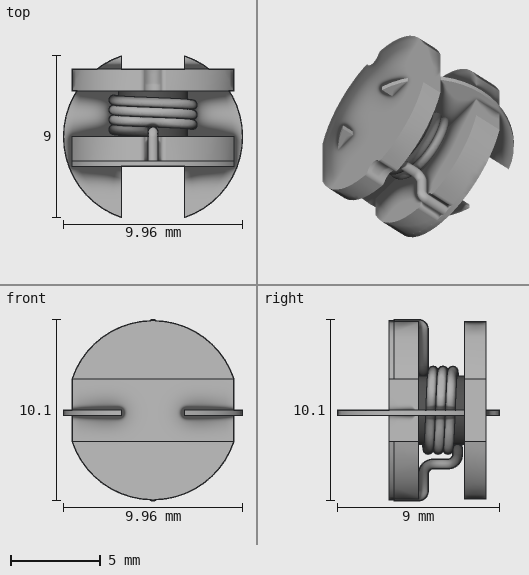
import cadquery as cq
import math

OVERALL_HEIGHT = 10.09
FLAT_HALF_WIDTH = 4.5
FLAT_HALF_HEIGHT = 1.75
CROWN_RADIUS = 4.98
BACK_FLANGE_THICKNESS = 1.2
FRONT_FLANGE_THICKNESS = 1.35
POST_LENGTH = 2.55
POST_DIAMETER = 3.81
PLATE_THICKNESS = 0.3
FIN_TOP_Z = 0.01
GROOVE_RADIUS = 0.5
GROOVE_EDGE_FILLET = 0.25
WIRE_DIAMETER = 0.54
TURN_GAP = 0.004
TIGHT_BEND_RADIUS = 0.28
JOG_BEND_RADIUS = 0.54
HALF_TURNS = 7

WIRE_RADIUS = WIRE_DIAMETER / 2
PITCH = WIRE_DIAMETER + TURN_GAP
COIL_RADIUS = POST_DIAMETER / 2 + WIRE_RADIUS
LEAD_Y = WIRE_RADIUS
GROOVE_LEAD_Z = OVERALL_HEIGHT / 2 - WIRE_RADIUS
COIL_END_ANGLE = math.degrees(math.asin(TIGHT_BEND_RADIUS / (COIL_RADIUS + TIGHT_BEND_RADIUS)))
LEAD_START_Z = (COIL_RADIUS + TIGHT_BEND_RADIUS) * math.cos(math.radians(COIL_END_ANGLE))
COIL_TURNS = HALF_TURNS / 2 - 2 * COIL_END_ANGLE / 360
COIL_LENGTH = PITCH * COIL_TURNS


def facing_front(y):
    """Workplane at the given Y whose local axes are X and Z; it extrudes toward -Y."""
    return cq.Workplane("XZ", origin=(0, y, 0))


def make_segment():
    """Plate with one straight side and one round side, bulging toward +Z, its back at Y = 0."""
    return (
        facing_front(0)
        .moveTo(FLAT_HALF_WIDTH, FLAT_HALF_HEIGHT)
        .threePointArc((0, CROWN_RADIUS), (-FLAT_HALF_WIDTH, FLAT_HALF_HEIGHT))
        .close()
        .extrude(PLATE_THICKNESS)
    )


def make_flange(back_y, thickness):
    """Round flange with two side flats and a rounded wire groove at top and bottom."""
    flange = (
        facing_front(back_y)
        .moveTo(FLAT_HALF_WIDTH, FLAT_HALF_HEIGHT)
        .threePointArc((0, CROWN_RADIUS), (-FLAT_HALF_WIDTH, FLAT_HALF_HEIGHT))
        .lineTo(-FLAT_HALF_WIDTH, -FLAT_HALF_HEIGHT)
        .threePointArc((0, -CROWN_RADIUS), (FLAT_HALF_WIDTH, -FLAT_HALF_HEIGHT))
        .close()
        .extrude(thickness)
    )
    grooves = (
        facing_front(back_y)
        .pushPoints([(0, CROWN_RADIUS), (0, -CROWN_RADIUS)])
        .circle(GROOVE_RADIUS)
        .extrude(thickness)
    )
    groove_area = cq.selectors.BoxSelector(
        (-2 * GROOVE_RADIUS, back_y - thickness, -CROWN_RADIUS),
        (2 * GROOVE_RADIUS, back_y, CROWN_RADIUS),
    )
    return flange.cut(grooves).edges("|Y").edges(groove_area).fillet(GROOVE_EDGE_FILLET)


def make_core(fins):
    """Drum core: two flanges on a post, a bar between the end caps, and slots for the fins."""
    back_flange = make_flange(POST_LENGTH + BACK_FLANGE_THICKNESS, BACK_FLANGE_THICKNESS)
    front_flange = make_flange(0, FRONT_FLANGE_THICKNESS)
    post = facing_front(POST_LENGTH).circle(POST_DIAMETER / 2).extrude(POST_LENGTH)
    bar = (
        facing_front(-FRONT_FLANGE_THICKNESS)
        .rect(2 * FLAT_HALF_WIDTH, 2 * FLAT_HALF_HEIGHT)
        .extrude(PLATE_THICKNESS)
    )
    core = back_flange.union(post).union(front_flange).union(bar)
    for fin in fins:
        core = core.cut(fin)
    return core


def make_end_caps():
    """Upper and lower cap on the front flange, each covering the end of a wire groove."""
    upper = make_segment().translate((0, -FRONT_FLANGE_THICKNESS, 0))
    return [upper.rotate((0, 0, 0), (0, 1, 0), angle) for angle in (0, 180)]


def make_coil():
    """Left-handed coil on the post, running from the upper lead to the lower lead."""
    helix = cq.Wire.makeHelix(PITCH, COIL_LENGTH, COIL_RADIUS, lefthand=True)
    return (
        cq.Workplane("XZ")
        .center(COIL_RADIUS, 0)
        .circle(WIRE_RADIUS)
        .sweep(cq.Workplane(helix), isFrenet=True)
        .rotate((0, 0, 0), (0, 0, 1), -90 - COIL_END_ANGLE)
        .rotate((0, 0, 0), (1, 0, 0), -90)
        .translate((0, LEAD_Y, 0))
    )


def sweep_wire(path, start, direction):
    """Round wire along a path that begins at the start point in the given direction."""
    profile = cq.Workplane(cq.Plane(origin=start, normal=direction)).circle(WIRE_RADIUS)
    return profile.sweep(path)


def make_coil_exit(y):
    """Bend from the coil's end, at the given Y, up to a vertical wire at X = 0."""
    tilt = math.radians(COIL_END_ANGLE)
    half_bend = math.radians(90 - COIL_END_ANGLE) / 2
    start = (-COIL_RADIUS * math.sin(tilt), COIL_RADIUS * math.cos(tilt))
    middle = (
        -TIGHT_BEND_RADIUS + TIGHT_BEND_RADIUS * math.cos(half_bend),
        LEAD_START_Z - TIGHT_BEND_RADIUS * math.sin(half_bend),
    )
    path = facing_front(y).moveTo(*start).threePointArc(middle, (0, LEAD_START_Z))
    return sweep_wire(path, (start[0], y, start[1]), (math.cos(tilt), 0, math.sin(tilt)))


def lead_path(y):
    """Start of a lead's path in the YZ plane, where the coil exit ends."""
    return cq.Workplane("YZ").moveTo(y, LEAD_START_Z)


def enter_groove(path):
    """Carry a lead up the flange face, round into the groove and along it to the end cap."""
    return (
        path.lineTo(LEAD_Y, GROOVE_LEAD_Z - TIGHT_BEND_RADIUS)
        .tangentArcPoint((LEAD_Y - TIGHT_BEND_RADIUS, GROOVE_LEAD_Z), relative=False)
        .lineTo(-FRONT_FLANGE_THICKNESS, GROOVE_LEAD_Z)
    )


def make_upper_lead():
    """Lead that rises straight from the front end of the coil into the upper groove."""
    run = sweep_wire(enter_groove(lead_path(LEAD_Y)), (0, LEAD_Y, LEAD_START_Z), (0, 0, 1))
    return make_coil_exit(LEAD_Y).union(run)


def make_lower_lead():
    """Lead that steps forward from the back end of the coil, then enters the lower groove."""
    coil_end_y = LEAD_Y + COIL_LENGTH
    jog_z = LEAD_START_Z + JOG_BEND_RADIUS
    path = (
        lead_path(coil_end_y)
        .threePointArc(
            (
                coil_end_y - JOG_BEND_RADIUS * (1 - math.cos(math.pi / 4)),
                LEAD_START_Z + JOG_BEND_RADIUS * math.sin(math.pi / 4),
            ),
            (coil_end_y - JOG_BEND_RADIUS, jog_z),
        )
        .lineTo(LEAD_Y + JOG_BEND_RADIUS, jog_z)
        .tangentArcPoint((LEAD_Y, jog_z + JOG_BEND_RADIUS), relative=False)
    )
    run = sweep_wire(enter_groove(path), (0, coil_end_y, LEAD_START_Z), (0, 0, 1))
    return make_coil_exit(coil_end_y).union(run).mirror("XY")


def make_fins(coil):
    """Left and right horizontal fin through both flanges, recessed where the coil passes."""
    flat = make_segment().rotate((0, 0, 0), (1, 0, 0), 90).translate((0, 0, FIN_TOP_Z))
    return [flat.rotate((0, 0, 0), (0, 0, 1), angle).cut(coil) for angle in (90, -90)]


coil = make_coil()
upper_lead = make_upper_lead()
lower_lead = make_lower_lead()
end_caps = make_end_caps()
fins = make_fins(coil)
core = make_core(fins)

bodies = [core, coil, upper_lead, lower_lead, *end_caps, *fins]
result = cq.Compound.makeCompound([body.solids().val() for body in bodies])